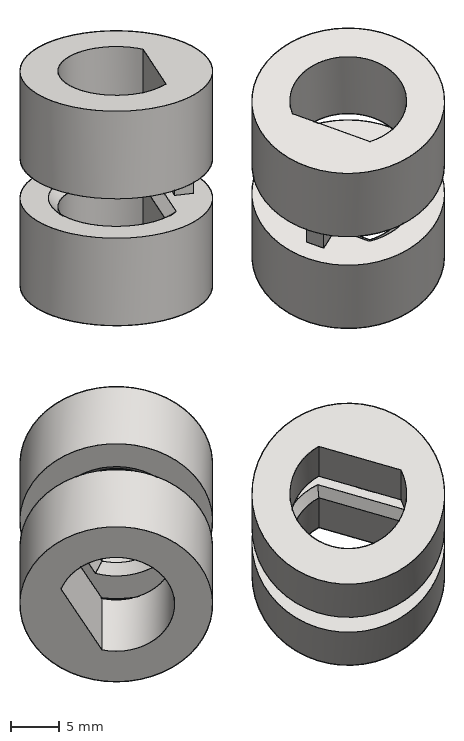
import cadquery as cq

collar_diameter = 20.0
collar_height = 10.0
bore_diameter = 12.1
bore_flat_offset = 4.1
bore_chamfer = 1.0
gap = 4.5
post_width = 2.0
post_inner_y = 6.0

total_height = 2 * collar_height + gap


def d_bore():
    """D-shaped cutter: a cylinder with its +Y side cut off flat."""
    bore_radius = bore_diameter / 2
    cylinder = cq.Workplane("XY").circle(bore_radius).extrude(collar_height)
    beyond_flat = cq.Workplane("XY").box(
        bore_diameter, bore_radius, collar_height, centered=(True, False, False)
    )
    return cylinder.cut(beyond_flat.translate((0, bore_flat_offset, 0)))


def lower_collar():
    """Round collar with a D-shaped through bore, beveled where the bore meets the top face."""
    body = cq.Workplane("XY").circle(collar_diameter / 2).extrude(collar_height)
    bored = body.cut(d_bore())
    bore_rim = bored.faces(">Z").val().innerWires()[0].Edges()
    return bored.newObject(bore_rim).chamfer(bore_chamfer)


def upper_collar():
    """Mirror image of the lower collar, so both bevels face the gap."""
    return lower_collar().mirror("XY").translate((0, 0, total_height))


def post():
    """Square post on the +Y side that bridges the gap between the collars."""
    bar = cq.Workplane("XY").box(post_width, post_width, gap, centered=(True, False, False))
    return bar.translate((0, post_inner_y, collar_height))


result = lower_collar().union(post()).union(upper_collar())